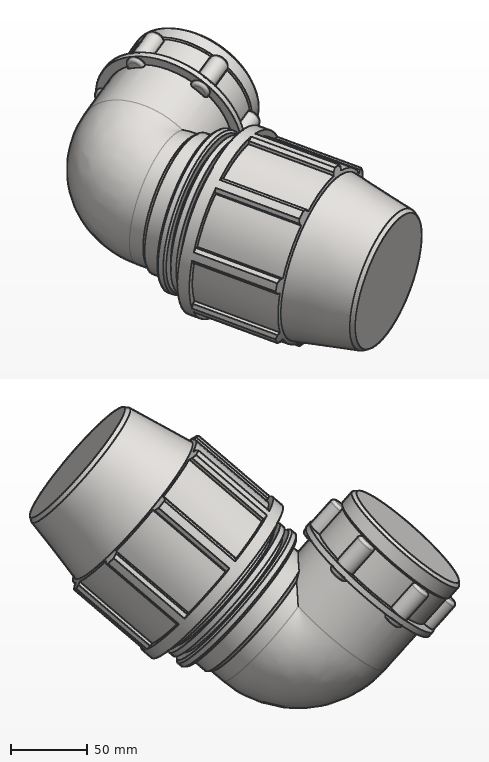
import cadquery as cq
import math

pipe_radius = 94.0 / 2
bend_offset = 28.7

leg_end = 105.0
leg_end_chamfer = 2.2
leg_flange_radius = 108.0 / 2
leg_flange_start = 65.0
leg_flange_end = 69.2
grip_end = 92.2
grip_depth = 1.0

lug_count = 6
lug_start = 61.7
lug_radius = 7.0
lug_inset = 0.12
lug_centre_radius = leg_flange_radius - lug_inset - lug_radius
lug_fillet = 2.2

collar_start = 39.0
collar_radius = 99.0 / 2
collar_chamfer = 2.5
stop_ring_start = 54.0
stop_ring_end = 60.7
stop_ring_radius = 114.7 / 2
stop_ring_chamfer = 1.5
thread_radius = 111.5 / 2
thread_width = 4.0
thread_starts = (64.0, 70.7)

nut_start = 74.2
nut_flange_end = 83.0
nut_flange_radius = 132.0 / 2
nut_body_radius = 61.5
nut_shoulder_start = 144.7
nut_shoulder_end = 147.0
nut_end = 196.0
nut_end_chamfer = 3.0
nut_end_radius = 47.5
cone_start_radius = 59.0
cone_end_radius = 49.5

rib_count = 8
rib_top_half_width = 3.0
rib_half_width = 5.5
rib_bevel = rib_half_width - rib_top_half_width


def x_cylinder(start, end, radius):
    """Cylinder on the X axis between two stations."""
    return cq.Workplane("YZ").workplane(offset=start).circle(radius).extrude(end - start)


def y_cylinder(start, end, radius):
    """Cylinder on the Y axis between two stations."""
    return cq.Workplane("XZ").workplane(offset=-end).circle(radius).extrude(end - start)


def make_bend():
    """Quarter turn of the pipe; its section stops at the bend axis, leaving a sharp inner corner."""
    half_height = math.sqrt(pipe_radius**2 - bend_offset**2)
    return (
        cq.Workplane("XZ", origin=(0, bend_offset, 0))
        .moveTo(bend_offset, -half_height)
        .threePointArc((-pipe_radius, 0), (bend_offset, half_height))
        .close()
        .revolve(90, (bend_offset, 0), (bend_offset, 1))
    )


def make_lug():
    """Round gripping lug at the +X side of the short leg, rounded at both ends."""
    return (
        cq.Workplane("XZ", origin=(0, grip_end, 0))
        .center(lug_centre_radius, 0)
        .circle(lug_radius)
        .extrude(grip_end - lug_start)
        .edges()
        .fillet(lug_fillet)
    )


def make_grip_recess():
    """Shallow ring recess around the gripping zone, with a sloped shoulder at the end ring."""
    grip_radius = pipe_radius - grip_depth
    return (
        cq.Workplane("XY")
        .moveTo(grip_radius, leg_flange_start)
        .lineTo(pipe_radius, leg_flange_start)
        .lineTo(pipe_radius, grip_end + grip_depth)
        .lineTo(grip_radius, grip_end)
        .close()
        .revolve(360, (0, 0), (0, 1))
    )


def make_short_leg():
    leg = y_cylinder(bend_offset, leg_end, pipe_radius).faces(">Y").chamfer(leg_end_chamfer)
    leg = leg.cut(make_grip_recess())
    leg = leg.union(y_cylinder(leg_flange_start, leg_flange_end, leg_flange_radius))
    lug = make_lug()
    for index in range(lug_count):
        leg = leg.union(lug.rotate((0, 0, 0), (0, 1, 0), index * 360 / lug_count))
    return leg


def make_collar():
    leg = x_cylinder(bend_offset, nut_start, pipe_radius)
    leg = leg.union(x_cylinder(collar_start, nut_start, collar_radius).faces("<X").chamfer(collar_chamfer))
    stop_ring = x_cylinder(stop_ring_start, stop_ring_end, stop_ring_radius)
    leg = leg.union(stop_ring.faces("<X or >X").chamfer(stop_ring_chamfer))
    for start in thread_starts:
        leg = leg.union(x_cylinder(start, start + thread_width, thread_radius))
    return leg


def make_rib():
    """Lengthwise rib on the +Y side of the nut, with a bevel along both outer edges."""
    bevel_radius = nut_flange_radius - rib_bevel
    return (
        cq.Workplane("YZ")
        .workplane(offset=nut_start)
        .polyline(
            [
                (0, -rib_half_width),
                (bevel_radius, -rib_half_width),
                (nut_flange_radius, -rib_top_half_width),
                (nut_flange_radius, rib_top_half_width),
                (bevel_radius, rib_half_width),
                (0, rib_half_width),
            ]
        )
        .close()
        .extrude(nut_shoulder_end - nut_start)
    )


def make_nut():
    barrel = x_cylinder(nut_start, nut_shoulder_end, nut_body_radius)
    rib = make_rib()
    for index in range(rib_count):
        barrel = barrel.union(rib.rotate((0, 0, 0), (1, 0, 0), (index + 0.5) * 360 / rib_count))
    barrel = barrel.union(x_cylinder(nut_start, nut_flange_end, nut_flange_radius))

    envelope = (
        cq.Workplane("XY")
        .moveTo(nut_start, 0)
        .lineTo(nut_start, nut_flange_radius)
        .lineTo(nut_shoulder_start, nut_flange_radius)
        .lineTo(nut_shoulder_end, cone_start_radius)
        .lineTo(nut_shoulder_end, 0)
        .close()
        .revolve(360, (0, 0), (1, 0))
    )
    nose = (
        cq.Workplane("XY")
        .moveTo(nut_shoulder_end, 0)
        .lineTo(nut_shoulder_end, cone_start_radius)
        .lineTo(nut_end - nut_end_chamfer, cone_end_radius)
        .lineTo(nut_end, nut_end_radius)
        .lineTo(nut_end, 0)
        .close()
        .revolve(360, (0, 0), (1, 0))
    )
    return barrel.intersect(envelope).union(nose)


result = make_bend().union(make_short_leg()).union(make_collar()).union(make_nut())